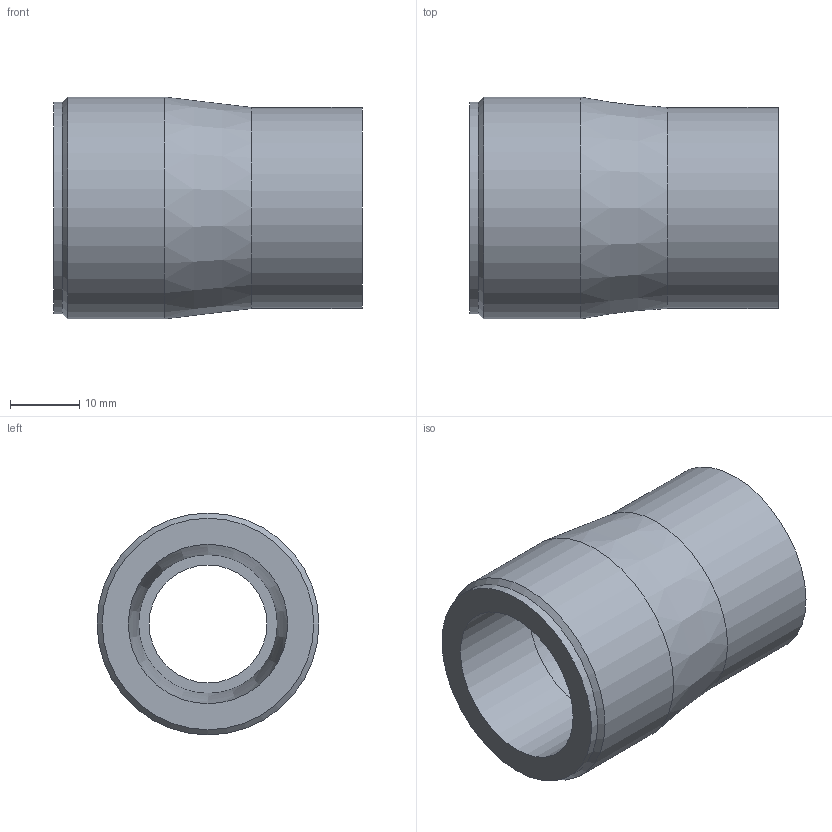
import cadquery as cq

lip_diameter = 30.5
body_diameter = 32.0
spigot_diameter = 29.0
socket_diameter = 23.0
inner_cone_small_diameter = 20.0
through_bore_diameter = 17.0

total_length = 44.5
bevel_end = 2.0
body_end = 16.0
socket_depth = 14.0
taper_length = 12.5

bevel_height = (body_diameter - lip_diameter) / 2
lip_end = bevel_end - bevel_height
neck_end = body_end + taper_length
inner_cone_end = socket_depth + taper_length


def outer_shape():
    """Solid of revolution: lip, bevel, body, tapered neck and spigot."""
    body_radius = body_diameter / 2
    lip_radius = lip_diameter / 2
    spigot_radius = spigot_diameter / 2
    section = (
        cq.Workplane("XZ")
        .lineTo(0, lip_radius)
        .lineTo(lip_end, lip_radius)
        .lineTo(bevel_end, body_radius)
        .lineTo(body_end, body_radius)
        .lineTo(neck_end, spigot_radius)
        .lineTo(total_length, spigot_radius)
        .lineTo(total_length, 0)
        .close()
    )
    return section.revolve(360, (0, 0, 0), (1, 0, 0))


def bore_shape():
    """Space inside the part: socket, inner cone, flat step and through bore."""
    socket_radius = socket_diameter / 2
    bore_radius = through_bore_diameter / 2
    section = (
        cq.Workplane("XZ")
        .lineTo(0, socket_radius)
        .lineTo(socket_depth, socket_radius)
        .lineTo(inner_cone_end, inner_cone_small_diameter / 2)
        .lineTo(inner_cone_end, bore_radius)
        .lineTo(total_length, bore_radius)
        .lineTo(total_length, 0)
        .close()
    )
    return section.revolve(360, (0, 0, 0), (1, 0, 0))


result = outer_shape().cut(bore_shape())